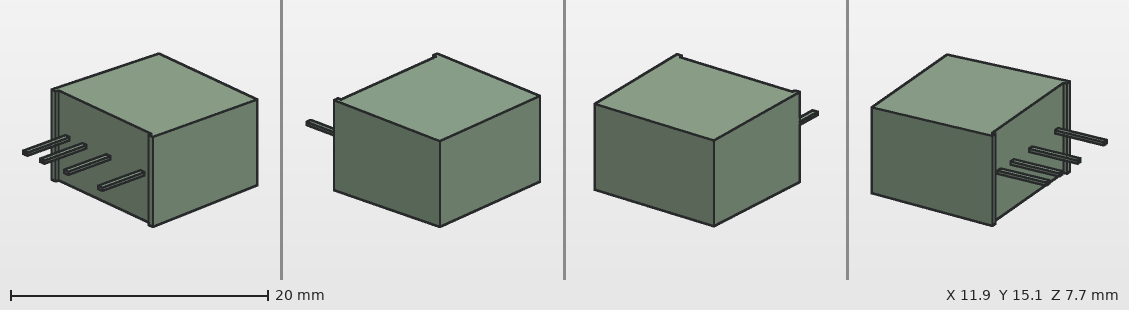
import cadquery as cq

total_length = 15.1
front_width = 11.9
front_height = 7.7

body_length = 11.01
back_width = 11.54
back_height = 7.34

rail_width = 0.5
recess_depth = 0.3

pin_width = 0.5
pin_thickness = 0.27
pin_center_z = 0.17
pin_centers_x = (-4.4, -2.4, 0.4, 4.4)

body_front_y = total_length / 2 - body_length
recess_floor_y = body_front_y + recess_depth
pin_length = recess_floor_y + total_length / 2


def make_case():
    """Loft from the large front rectangle to the smaller back rectangle."""
    return (
        cq.Workplane("XZ", origin=(0, body_front_y, 0))
        .rect(front_width, front_height)
        .workplane(offset=-body_length)
        .rect(back_width, back_height)
        .loft(ruled=True, combine=True)
    )


def make_recess():
    """Block that clears the front between the rails over the full height."""
    return cq.Workplane("XY").box(
        front_width - 2 * rail_width, recess_depth, front_height, centered=(True, False, True)
    ).translate((0, body_front_y, 0))


def make_pins():
    """Row of straight pins standing out from the recess floor."""
    return (
        cq.Workplane("XZ", origin=(0, recess_floor_y, 0))
        .pushPoints([(x, pin_center_z) for x in pin_centers_x])
        .rect(pin_width, pin_thickness)
        .extrude(pin_length)
    )


result = make_case().cut(make_recess()).union(make_pins())